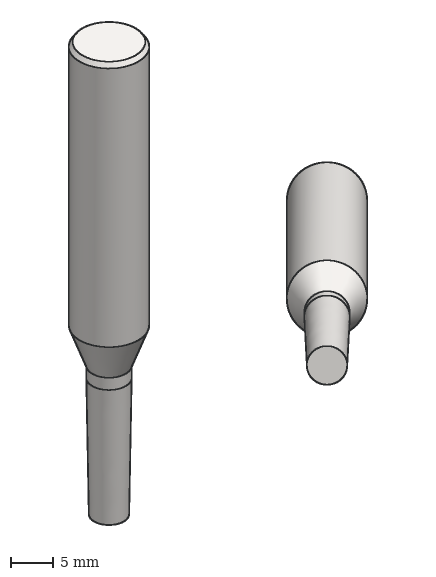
import cadquery as cq

total_length = 66.7
shank_diameter = 9.55
shank_bottom = 26.7
top_chamfer_width = 0.5
top_chamfer_height = 0.7

neck_diameter = 5.4
neck_top = 21.0
neck_bottom = 19.3

tip_diameter = 4.8


def make_shank():
    """Chamfered round shank that narrows through a cone to a straight neck."""
    shank_radius = shank_diameter / 2
    neck_radius = neck_diameter / 2
    return (
        cq.Workplane("XZ")
        .moveTo(0, neck_bottom)
        .lineTo(neck_radius, neck_bottom)
        .lineTo(neck_radius, neck_top)
        .lineTo(shank_radius, shank_bottom)
        .lineTo(shank_radius, total_length - top_chamfer_height)
        .lineTo(shank_radius - top_chamfer_width, total_length)
        .lineTo(0, total_length)
        .close()
        .revolve(360, (0, 0, 0), (0, 1, 0))
    )


def make_cutter():
    """Tapered round end whose upper face meets the underside of the neck."""
    return (
        cq.Workplane("XZ")
        .lineTo(tip_diameter / 2, 0)
        .lineTo(neck_diameter / 2, neck_bottom)
        .lineTo(0, neck_bottom)
        .close()
        .revolve(360, (0, 0, 0), (0, 1, 0))
    )


shank = make_shank()
cutter = make_cutter()

result = cq.Compound.makeCompound([shank.val(), cutter.val()])